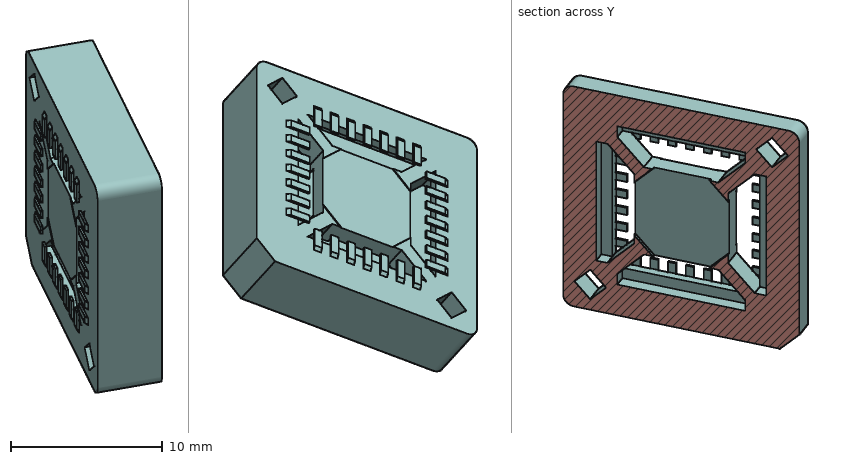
import cadquery as cq


SIDE = 16.9
DEPTH = 4.45
CORNER_RADIUS = 0.8
KEY_CHAMFER = 1.4

CHIP_SIDE = 12.1
CHIP_FRONT = 1.7

SLOT_INNER = 3.36
SLOT_OUTER = 5.25
ARM_OFFSET = 0.71
FRONT_WALL = 0.63

PLATE_CORNER_CUT = 1.37
PLATE_RECESS = 0.05
PLATE_BACK = 1.28

HOLE_SIDE = 1.57
HOLE_OFFSET = 6.49

FEET_PER_SIDE = 7
FOOT_PITCH = 1.27
FOOT_WIDTH = 0.55
FOOT_HEIGHT = 0.15
FOOT_INNER = 4.48
FOOT_OUTER = 6.2
FOOT_BEVEL = 0.29

QUARTER_TURNS = (0, 90, 180, 270)


def face_plane(depth):
    """Plane parallel to the front face: local x is X, local y is Z, normal is -Y."""
    return cq.Workplane("XZ", origin=(0, depth, 0))


def square_prism(side, front, back):
    return face_plane(back).rect(side, side).extrude(back - front)


def turned(solid, angle):
    """Turn a feature about the depth axis through the centre."""
    return solid.rotate((0, 0, 0), (0, 1, 0), angle)


def make_block():
    """Square block with three rounded corners and one chamfered key corner."""
    block = square_prism(SIDE, 0, DEPTH)
    block = block.edges("|Y").edges(">X or >Z").fillet(CORNER_RADIUS)
    return block.edges("|Y").edges("<X and <Z").chamfer(KEY_CHAMFER)


def make_slot():
    """Upper contact slot: a trapezoid that widens outwards behind the front wall."""
    inner_half = SLOT_INNER - ARM_OFFSET
    outer_half = SLOT_OUTER - ARM_OFFSET
    trapezoid = (
        face_plane(CHIP_FRONT)
        .polyline([
            (-inner_half, SLOT_INNER),
            (inner_half, SLOT_INNER),
            (outer_half, SLOT_OUTER),
            (-outer_half, SLOT_OUTER),
        ])
        .close()
        .extrude(CHIP_FRONT)
    )
    widening = (
        face_plane(CHIP_FRONT)
        .center(0, (SLOT_OUTER + CHIP_SIDE / 2) / 2)
        .rect(2 * outer_half, CHIP_SIDE / 2 - SLOT_OUTER)
        .extrude(CHIP_FRONT - FRONT_WALL)
    )
    return trapezoid.union(widening)


def make_plate_recess(front, back):
    """Octagonal space in front of or behind the centre plate."""
    octagon = square_prism(2 * SLOT_INNER, front, back)
    return octagon.edges("|Y").chamfer(PLATE_CORNER_CUT)


def make_extraction_holes():
    centres = [(-HOLE_OFFSET, HOLE_OFFSET), (HOLE_OFFSET, -HOLE_OFFSET)]
    profile = cq.Sketch().rect(HOLE_SIDE, HOLE_SIDE, angle=45)
    return face_plane(DEPTH).pushPoints(centres).placeSketch(profile).extrude(DEPTH)


def make_foot(position):
    """One upper contact foot lying on the front face, with a sloping outer end."""
    return (
        cq.Workplane("YZ", origin=(position - FOOT_WIDTH / 2, 0, 0))
        .polyline([
            (0, FOOT_INNER),
            (-FOOT_HEIGHT, FOOT_INNER),
            (-FOOT_HEIGHT, FOOT_OUTER - FOOT_BEVEL),
            (0, FOOT_OUTER),
        ])
        .close()
        .extrude(FOOT_WIDTH)
    )


def make_housing():
    """Housing with its chip pocket, slots, recesses and holes, and the feet joined to it."""
    housing = make_block()
    housing = housing.cut(square_prism(CHIP_SIDE, CHIP_FRONT, DEPTH))
    housing = housing.cut(make_plate_recess(0, PLATE_RECESS))
    housing = housing.cut(make_plate_recess(PLATE_BACK, CHIP_FRONT))
    housing = housing.cut(make_extraction_holes())
    for angle in QUARTER_TURNS:
        housing = housing.cut(turned(make_slot(), angle))
        for index in range(FEET_PER_SIDE):
            position = (index - (FEET_PER_SIDE - 1) / 2) * FOOT_PITCH
            housing = housing.union(turned(make_foot(position), angle))
    return housing.solids()


def make_chip():
    """Chip that fills the pocket and ends flush with the housing's back face."""
    return square_prism(CHIP_SIDE, CHIP_FRONT, DEPTH)


housing = make_housing()
chip = make_chip()
result = cq.Compound.makeCompound([housing.val(), chip.val()])